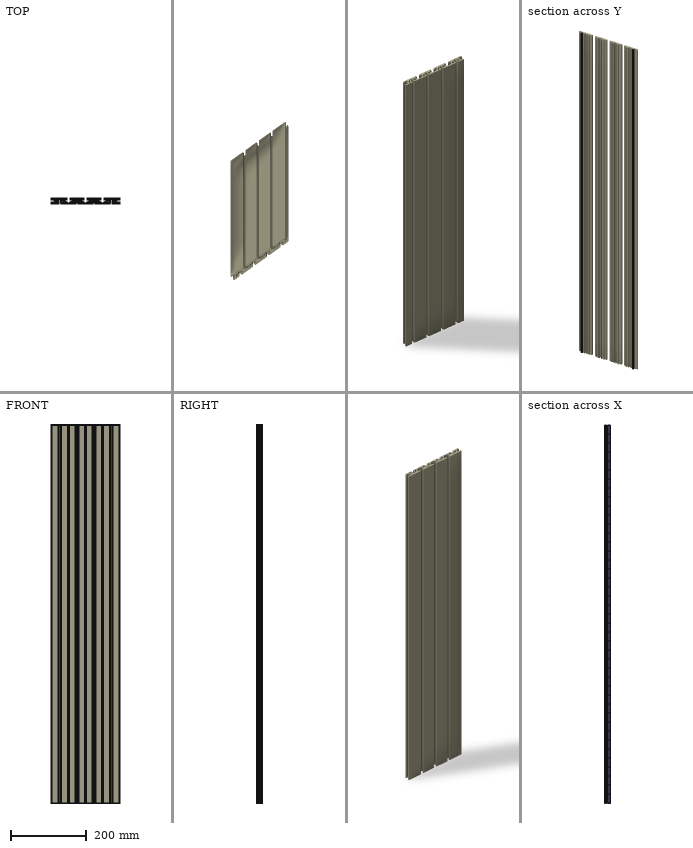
import cadquery as cq

length = 1000.0
width = 180.0
thickness = 15.0
slot_pitch = 45.0

half_width = width / 2
half_thickness = thickness / 2
back_slot_centres = [-slot_pitch, 0, slot_pitch]
front_slot_centres = [side * (slot_pitch / 2 + i * slot_pitch) for side in (-1, 1) for i in (0, 1)]

tslot_half_opening = 4.1
tslot_lip = 4.5
tslot_undercut = 6.9
tslot_wall = 3.0
tslot_floor_half_width = 1.9
tslot_floor_thickness = 2.5

narrow_half_neck = 2.5
narrow_half_mouth = tslot_half_opening
narrow_mouth_depth = 2.6
narrow_roof = 3.0

side_half_mouth = 3.4
side_half_cavity = 4.3
side_lip = 2.1
side_depth = 7.7
side_pocket_depth = 11.0
side_slope_start = -0.2
side_slope_end = 1.7

chamber_inner_top = 4.0
chamber_inner_bottom = 5.9
chamber_step = 7.5
chamber_outer = 11.0
chamber_bottom = -4.7
chamber_shoulder = -0.6
chamber_step_height = 1.4
chamber_top = 2.7


def mirrored(points):
    """The same points with X reversed."""
    return [(-x, y) for x, y in points]


def moved(points, distance):
    """The points shifted along X."""
    return [(x + distance, y) for x, y in points]


def cutting_prism(points):
    """A full-length prism with the given cross-section."""
    return cq.Workplane("XY").workplane(offset=-length / 2).polyline(points).close().extrude(length)


lip_y = half_thickness - tslot_lip
tslot_half_width = tslot_half_opening + tslot_undercut
tslot_half = [
    (tslot_half_opening, half_thickness),
    (tslot_half_opening, lip_y),
    (tslot_half_width, lip_y),
    (tslot_half_width, lip_y - tslot_wall),
    (tslot_floor_half_width, tslot_floor_thickness - half_thickness),
]
tslot = tslot_half + mirrored(tslot_half)[::-1]

neck_y = narrow_mouth_depth - half_thickness
roof_y = half_thickness - narrow_roof
narrow_half = [
    (narrow_half_mouth, -half_thickness),
    (narrow_half_neck, neck_y),
    (narrow_half_neck, roof_y),
]
narrow_slot = narrow_half + mirrored(narrow_half)[::-1]

lip_x = half_width - side_lip
step_x = half_width - side_depth
pocket_x = half_width - side_pocket_depth
side_groove = [
    (half_width, -side_half_mouth),
    (lip_x, -side_half_mouth),
    (lip_x, -side_half_cavity),
    (step_x, -side_half_cavity),
    (step_x, side_slope_start),
    (pocket_x, side_slope_end),
    (pocket_x, side_half_cavity),
    (lip_x, side_half_cavity),
    (lip_x, side_half_mouth),
    (half_width, side_half_mouth),
]

chamber = [
    (chamber_inner_bottom, chamber_bottom),
    (chamber_outer, chamber_bottom),
    (chamber_outer, chamber_shoulder),
    (chamber_step, chamber_step_height),
    (chamber_step, chamber_top),
    (chamber_inner_top, chamber_top),
]

result = cq.Workplane("XY").box(width, thickness, length)

for centre in back_slot_centres:
    result = result.cut(cutting_prism(moved(tslot, centre)))

for centre in front_slot_centres:
    for outline in (narrow_slot, chamber, mirrored(chamber)):
        result = result.cut(cutting_prism(moved(outline, centre)))

for outline in (side_groove, mirrored(side_groove)):
    result = result.cut(cutting_prism(outline))